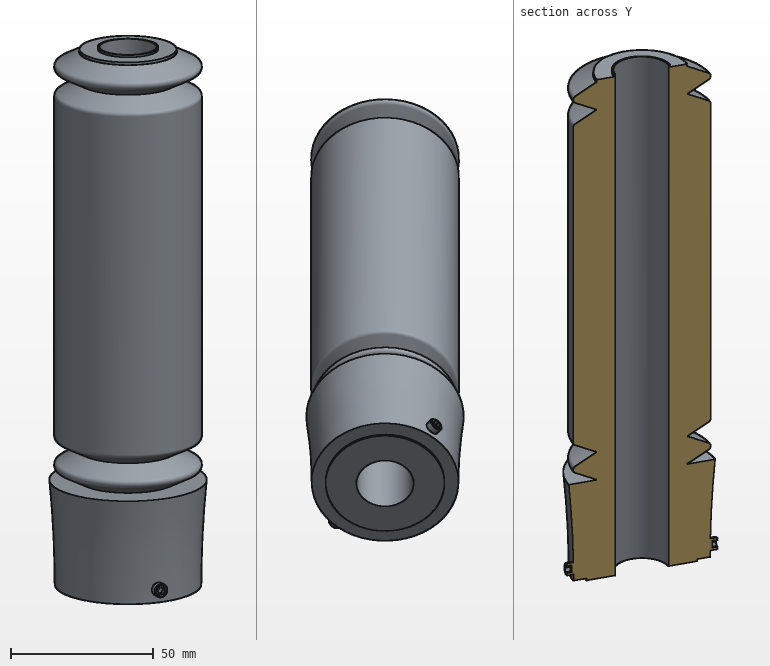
import cadquery as cq
import math

total_height = 196.6
body_radius = 52.0 / 2
neck_radius = 34.5 / 2
bore_radius = 20.0 / 2

flank_angle = math.radians(27)
edge_radius = 1.5

lip_height = 0.8
top_lip_radius = 21.2 / 2
bottom_lip_radius = 41.7 / 2
rim_radius = 34.0 / 2
rim_base_level = 194.9

base_top_level = 39.0
base_foot_radius = 51.5 / 2
flare_radius = 55.3 / 2

screw_radius = 5.0 / 2
screw_span = 56.8
screw_level = 5.7
screw_chamfer = 0.4
socket_corner_diameter = 3.0
socket_depth = 2.0

tangent_radius = body_radius - edge_radius * (1 - math.sin(flank_angle))
rounding_height = edge_radius * math.cos(flank_angle)
flank_height = (tangent_radius - neck_radius) * math.tan(flank_angle) + rounding_height

upper_groove_level = rim_base_level - 2 * flank_height
lower_groove_level = base_top_level + 2 * flank_height


def disc(radius, bottom_level, top_level):
    """Plain cylinder on the Z axis between two levels."""
    return cq.Workplane("XY").workplane(offset=bottom_level).circle(radius).extrude(top_level - bottom_level)


def ring(bottom_level):
    """Double-cone ring with a rounded edge, reaching from one neck circle to the next."""
    middle_level = bottom_level + flank_height
    top_level = middle_level + flank_height
    profile = (
        cq.Workplane("XZ")
        .moveTo(0, bottom_level)
        .lineTo(neck_radius, bottom_level)
        .lineTo(tangent_radius, middle_level - rounding_height)
        .threePointArc((body_radius, middle_level), (tangent_radius, middle_level + rounding_height))
        .lineTo(neck_radius, top_level)
        .lineTo(0, top_level)
        .close()
    )
    return profile.revolve()


def body():
    """Long cylinder whose ends taper to the neck circles through a rounded edge."""
    bottom_edge_level = lower_groove_level + flank_height
    top_edge_level = upper_groove_level - flank_height
    profile = (
        cq.Workplane("XZ")
        .moveTo(0, lower_groove_level)
        .lineTo(neck_radius, lower_groove_level)
        .lineTo(tangent_radius, bottom_edge_level - rounding_height)
        .radiusArc((body_radius, bottom_edge_level), -edge_radius)
        .lineTo(body_radius, top_edge_level)
        .radiusArc((tangent_radius, top_edge_level + rounding_height), -edge_radius)
        .lineTo(neck_radius, upper_groove_level)
        .lineTo(0, upper_groove_level)
        .close()
    )
    return profile.revolve()


def base():
    """Base whose wall starts vertical at the bottom and flares outward along an arc."""
    height = base_top_level - lip_height
    flare = flare_radius - base_foot_radius
    arc_radius = (height**2 + flare**2) / (2 * flare)
    profile = (
        cq.Workplane("XZ")
        .moveTo(0, lip_height)
        .lineTo(base_foot_radius, lip_height)
        .radiusArc((flare_radius, base_top_level), arc_radius)
        .lineTo(0, base_top_level)
        .close()
    )
    return profile.revolve()


def set_screws():
    """One rod along X whose chamfered ends, each with a hexagon socket, stand out of the base."""
    side_plane = cq.Workplane("YZ").center(0, screw_level)
    rod = side_plane.circle(screw_radius).extrude(screw_span / 2, both=True)
    rod = rod.faces("|X").chamfer(screw_chamfer)
    for side in (-1, 1):
        socket = (
            side_plane.workplane(offset=side * screw_span / 2)
            .polygon(6, socket_corner_diameter)
            .extrude(-side * socket_depth)
        )
        rod = rod.cut(socket)
    return rod


column = (
    disc(bottom_lip_radius, 0, lip_height)
    .union(base())
    .union(ring(base_top_level))
    .union(body())
    .union(ring(upper_groove_level))
    .union(disc(rim_radius, rim_base_level, total_height - lip_height))
    .union(disc(top_lip_radius, total_height - lip_height, total_height))
)

result = column.union(set_screws()).cut(disc(bore_radius, 0, total_height))